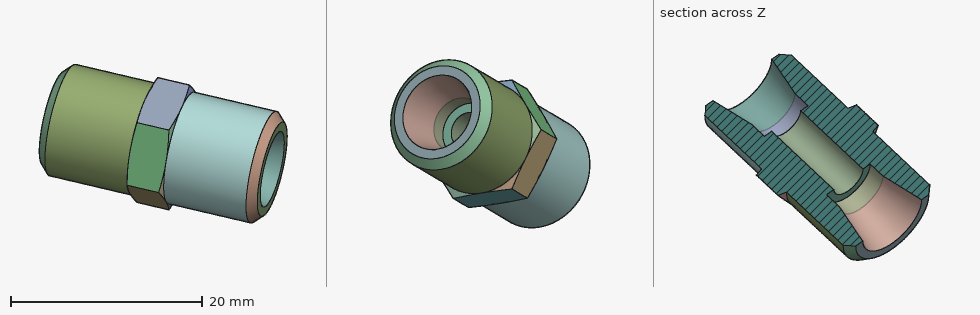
import cadquery as cq
import math

length = 24.0
body_diameter = 12.0
end_chamfer = 0.94

hex_across_flats = 12.0
hex_sides = 6
hex_width = 4.0
hex_chamfer_angle = 15.0

through_diameter = 4.0
socket_diameter = 6.0
socket_depth = 7.0
mouth_diameter = 8.1
mouth_half_angle = 12.0

half_length = length / 2


def make_body():
    """Round bar with both ends chamfered."""
    bar = cq.Workplane("YZ").circle(body_diameter / 2).extrude(half_length, both=True)
    return bar.faces("<X or >X").chamfer(end_chamfer)


def make_hex_collar():
    """Hexagon whose corners are trimmed by a shallow cone on each side."""
    half_width = hex_width / 2
    flat_radius = hex_across_flats / 2
    corner_radius = flat_radius / math.cos(math.pi / hex_sides)
    corner_drop = (corner_radius - flat_radius) * math.tan(math.radians(hex_chamfer_angle))
    corner_half_width = half_width - corner_drop

    hexagon = cq.Workplane("YZ").polygon(hex_sides, 2 * corner_radius).extrude(half_width, both=True)
    trim_outline = [
        (-half_width, 0),
        (-half_width, flat_radius),
        (-corner_half_width, corner_radius),
        (corner_half_width, corner_radius),
        (half_width, flat_radius),
        (half_width, 0),
    ]
    trim = cq.Workplane("XY").polyline(trim_outline).close().revolve(360, (0, 0, 0), (1, 0, 0))
    return hexagon.intersect(trim)


def make_bore():
    """Revolved bore, the same from both ends."""
    mouth_radius = mouth_diameter / 2
    socket_radius = socket_diameter / 2
    through_radius = through_diameter / 2
    taper_length = (mouth_radius - socket_radius) / math.tan(math.radians(mouth_half_angle))
    taper_end = half_length - taper_length
    socket_end = half_length - socket_depth

    right_half = [
        (socket_end, through_radius),
        (socket_end, socket_radius),
        (taper_end, socket_radius),
        (half_length, mouth_radius),
        (half_length, 0),
    ]
    left_half = [(-x, radius) for x, radius in reversed(right_half)]
    outline = left_half + right_half
    return cq.Workplane("XY").polyline(outline).close().revolve(360, (0, 0, 0), (1, 0, 0))


result = make_body().union(make_hex_collar()).cut(make_bore())